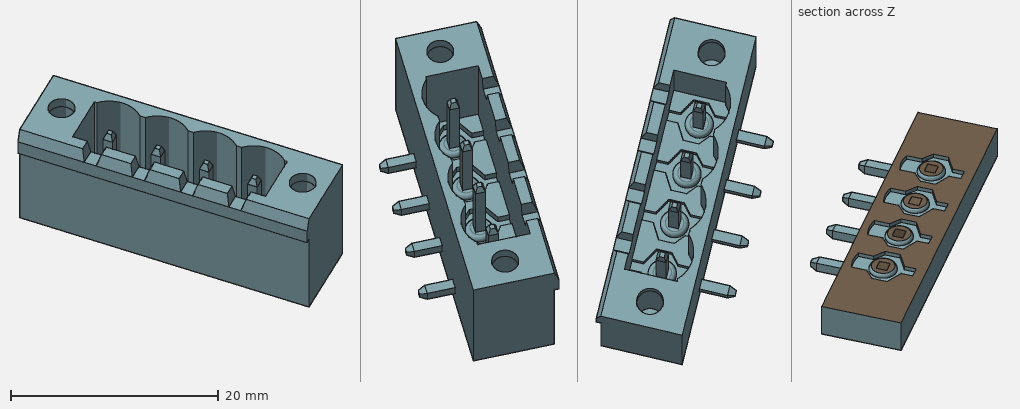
import cadquery as cq
import math


length = 30.48
height = 12.0
back_y = 3.8
front_y = -4.27
lip_front_y = -4.72
lip_height = 2.83
lip_bevel_height = 1.28

pin_count = 4
pin_pitch = length / (pin_count + 2)
pin_width = 1.0
pin_tip_width = 0.5
pin_taper = 0.7
pin_top_z = 10.75
tail_z = 1.98
tail_end_y = 7.28

cavity_length = pin_count * pin_pitch
cavity_front_y = -3.15
cavity_back_y = 2.07
bay_back_y = 3.02
bay_half_chord = 2.25
cavity_floor_z = 3.8

recess_depth = 0.75
recess_half_width = 2.07
recess_side_back_y = 0.45
recess_side_front_y = -1.07
back_channel_half_width = 1.07
back_channel_start_y = 1.3
front_channel_half_width = 0.52
front_channel_start_y = -1.98

collar_diameter = 2.75
collar_round = 0.5

notch_top_width = 1.98
notch_bottom_width = 1.25

hole_diameter = 2.6
hole_floor_z = cavity_floor_z
hole_offset = (pin_count + 1) / 2 * pin_pitch
sleeve_diameter = 3.65
sleeve_sink = 1.07

recess_floor_z = cavity_floor_z - recess_depth
pin_positions = [(i - (pin_count - 1) / 2) * pin_pitch for i in range(pin_count)]
hole_positions = [-hole_offset, hole_offset]
sleeve_top_z = height - sleeve_sink


def make_block():
    """Housing block with the bevelled lip along the top of its front."""
    outline = [
        (back_y, 0),
        (back_y, height),
        (front_y, height),
        (lip_front_y, height - lip_bevel_height),
        (lip_front_y, height - lip_height),
        (front_y, height - lip_height),
        (front_y, 0),
    ]
    return cq.Workplane("YZ").polyline(outline).close().extrude(length / 2, both=True)


def make_cavity(floor_z):
    """Space of the plug cavity from floor_z to the top of the housing."""
    half_length = cavity_length / 2
    outline = cq.Workplane("XY", origin=(0, 0, floor_z)).moveTo(-half_length, cavity_front_y)
    outline = outline.lineTo(-half_length, cavity_back_y)
    for x in pin_positions:
        outline = outline.lineTo(x - bay_half_chord, cavity_back_y)
        outline = outline.threePointArc((x, bay_back_y), (x + bay_half_chord, cavity_back_y))
    outline = outline.lineTo(half_length, cavity_back_y).lineTo(half_length, cavity_front_y)
    return outline.close().extrude(height - floor_z)


def make_recess(x):
    """Eight-sided floor recess with a wide channel to the back and a narrow one to the front."""
    right_side = [
        (front_channel_half_width, cavity_front_y),
        (front_channel_half_width, front_channel_start_y),
        (recess_half_width, recess_side_front_y),
        (recess_half_width, recess_side_back_y),
        (back_channel_half_width, back_channel_start_y),
        (back_channel_half_width, bay_back_y),
    ]
    left_side = [(-side_x, side_y) for side_x, side_y in reversed(right_side)]
    outline = cq.Workplane("XY", origin=(x, 0, recess_floor_z)).polyline(right_side + left_side).close()
    return outline.extrude(recess_depth).intersect(make_cavity(recess_floor_z))


def make_notch(x):
    """Tapered notch through the front wall, as deep as the lip bevel is high."""
    bottom_z = height - lip_bevel_height
    outline = [
        (-notch_bottom_width / 2, bottom_z),
        (notch_bottom_width / 2, bottom_z),
        (notch_top_width / 2, height),
        (-notch_top_width / 2, height),
    ]
    plane = cq.Workplane("XZ", origin=(x, cavity_front_y, 0))
    return plane.polyline(outline).close().extrude(cavity_front_y - lip_front_y)


def make_collar(x):
    """Round collar whose outer edge is a quarter round down to the recess floor."""
    outer = collar_diameter / 2
    inner = outer - collar_round
    diagonal = collar_round * math.sqrt(0.5)
    profile = (
        cq.Workplane("XZ", origin=(x, 0, recess_floor_z))
        .lineTo(outer, 0)
        .threePointArc((inner + diagonal, diagonal), (inner, collar_round))
        .lineTo(0, collar_round)
        .close()
    )
    return profile.revolve(360, (0, 0, 0), (0, 1, 0))


def make_tapered_bar(plane, bar_length):
    """Square bar along the plane's normal with a pyramid-shaped tip at its far end."""
    shank_length = bar_length - pin_taper
    shank = plane.rect(pin_width, pin_width).extrude(shank_length)
    tip = (
        plane.workplane(offset=shank_length)
        .rect(pin_width, pin_width)
        .workplane(offset=pin_taper)
        .rect(pin_tip_width, pin_tip_width)
        .loft(ruled=True)
    )
    return shank.union(tip)


def make_pin(x):
    """Right-angle pin: a contact pointing up and a solder tail pointing back."""
    heel_z = tail_z - pin_width / 2
    heel_y = -pin_width / 2
    contact = make_tapered_bar(cq.Workplane("XY", origin=(x, 0, heel_z)), pin_top_z - heel_z)
    tail_plane = cq.Workplane(cq.Plane((x, heel_y, tail_z), xDir=(1, 0, 0), normal=(0, 1, 0)))
    tail = make_tapered_bar(tail_plane, tail_end_y - heel_y)
    return contact.union(tail)


def make_hole_cylinder(x, diameter, top_z):
    """Upright cylinder from the floor of a mounting hole to top_z."""
    plane = cq.Workplane("XY", origin=(x, 0, hole_floor_z))
    return plane.circle(diameter / 2).extrude(top_z - hole_floor_z)


def make_sleeve(x):
    """Round sleeve whose bore continues the mouth of the mounting hole."""
    outside = make_hole_cylinder(x, sleeve_diameter, sleeve_top_z)
    return outside.cut(make_hole_cylinder(x, hole_diameter, sleeve_top_z))


def make_housing(pins):
    """Housing with its cavity, pin passages and mounting holes with seats for the sleeves."""
    housing = make_block().cut(make_cavity(cavity_floor_z))
    for x in pin_positions:
        housing = housing.cut(make_recess(x)).cut(make_notch(x)).union(make_collar(x))
    for pin in pins:
        housing = housing.cut(pin)
    for x in hole_positions:
        housing = housing.cut(make_hole_cylinder(x, hole_diameter, height))
        housing = housing.cut(make_hole_cylinder(x, sleeve_diameter, sleeve_top_z))
    return housing


pins = [make_pin(x) for x in pin_positions]
sleeves = [make_sleeve(x) for x in hole_positions]
housing = make_housing(pins)

bodies = [housing, *pins, *sleeves]
result = cq.Compound.makeCompound([body.solids().val() for body in bodies])